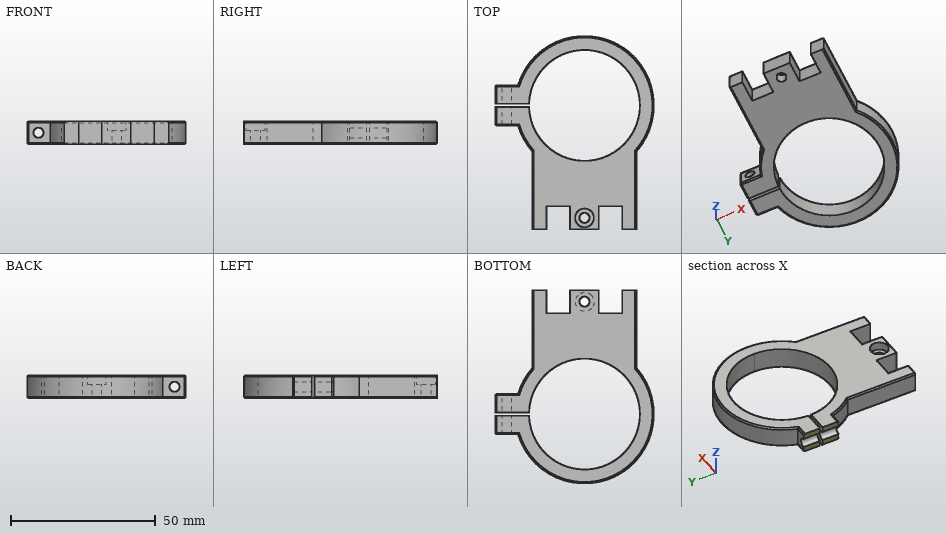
import cadquery as cq

thickness = 8.0
overall_width = 54.9
overall_length = 66.9
edge_chamfer = 0.55

ring_diameter = 48.05
bore_diameter = 38.3
ring_radius = ring_diameter / 2

lug_end_x = ring_radius - overall_width
lug_pair_width = 14.05
slit_width = 1.0
clamp_hole_diameter = 3.4
clamp_hole_from_end = 3.95

foot_width = 36.0
foot_end_y = ring_radius - overall_length
notch_size = 8.0
tab_width = 10.05
mount_hole_diameter = 3.4
counterbore_diameter = 6.5
counterbore_depth = 3.2
mount_hole_y = foot_end_y + notch_size / 2


def block(x_min, x_max, y_min, y_max):
    """Full-thickness block between the given X and Y limits."""
    return cq.Workplane("XY").box(x_max - x_min, y_max - y_min, thickness).translate(
        ((x_min + x_max) / 2, (y_min + y_max) / 2, 0)
    )


def make_body():
    """Ring disc, lug block and foot joined, with the outer edges chamfered."""
    disc = cq.Workplane("XY").circle(ring_radius).extrude(thickness / 2, both=True)
    lugs = block(lug_end_x, 0, -lug_pair_width / 2, lug_pair_width / 2)
    lugs = lugs.edges("|Z and <X").chamfer(edge_chamfer)
    spare_length = 2 * edge_chamfer
    foot = block(-foot_width / 2, foot_width / 2, foot_end_y - spare_length, 0)
    body = disc.union(lugs).union(foot)
    body = body.faces("|Z").edges().chamfer(edge_chamfer)
    return body.cut(block(-foot_width, foot_width, foot_end_y - 2 * spare_length, foot_end_y))


def cut_clamp(body):
    """Bore, slit between the lugs, and the clamp screw hole along Y."""
    bore = cq.Workplane("XY").circle(bore_diameter / 2).extrude(thickness, both=True)
    slit = block(lug_end_x, 0, -slit_width / 2, slit_width / 2)
    screw_hole = (
        cq.Workplane("XZ")
        .center(lug_end_x + clamp_hole_from_end, 0)
        .circle(clamp_hole_diameter / 2)
        .extrude(lug_pair_width, both=True)
    )
    return body.cut(bore).cut(slit).cut(screw_hole)


def cut_foot(body):
    """Two square notches, leaving a middle tab with a counterbored hole."""
    notch_offset = (tab_width + notch_size) / 2
    for side in (-1, 1):
        notch_x = side * notch_offset
        body = body.cut(
            block(
                notch_x - notch_size / 2,
                notch_x + notch_size / 2,
                foot_end_y,
                foot_end_y + notch_size,
            )
        )
    return (
        body.faces(">Z")
        .workplane(origin=(0, mount_hole_y, 0))
        .cboreHole(mount_hole_diameter, counterbore_diameter, counterbore_depth)
    )


result = cut_foot(cut_clamp(make_body()))